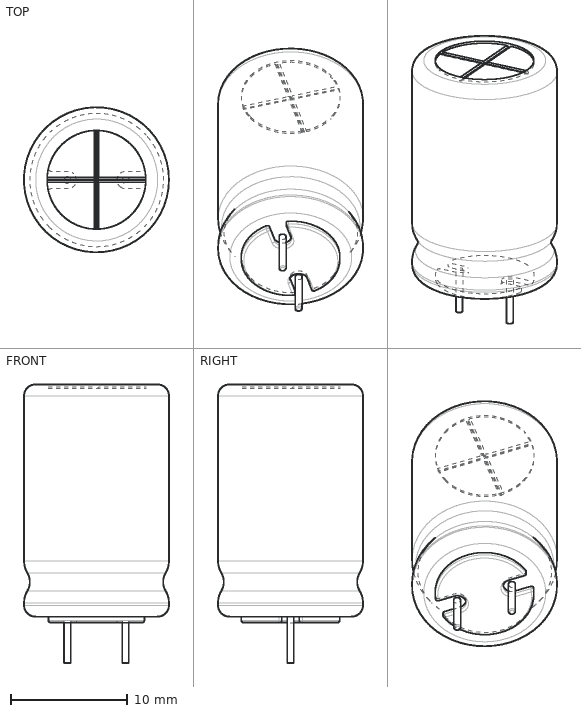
import cadquery as cq
import math


can_diameter = 12.5
can_height = 20.0
can_edge_radius = 1.0

crimp_height = 3.0
crimp_depth = 0.5
crimp_waist_radius = 1.5
crimp_shoulder_radius = 2.0

vent_diameter = 8.5
vent_depth = 0.2
score_width = 0.4
score_floor_width = 0.1
score_depth = (score_width - score_floor_width) / 2

bung_diameter = 8.5
bung_height = 0.5
bung_edge_radius = 0.2
notch_radius = 0.75
notch_corner_radius = 0.2

lead_spacing = 5.0
lead_diameter = 0.6
lead_length = 4.0
lead_tip_radius = 0.1

can_radius = can_diameter / 2
bung_radius = bung_diameter / 2
lead_positions = [(-lead_spacing / 2, 0), (lead_spacing / 2, 0)]


def make_can():
    """Revolve the can outline: rounded ends and three tangent arcs forming the crimp."""
    waist = crimp_waist_radius
    shoulder = crimp_shoulder_radius
    waist_r = can_radius - crimp_depth
    sweep = math.acos(1 - crimp_depth / (waist + shoulder))
    half_length = (waist + shoulder) * math.sin(sweep)
    crimp_bottom = crimp_height - half_length
    crimp_top = crimp_height + half_length
    join_dz = waist * math.sin(sweep)
    join_r = waist_r + waist * (1 - math.cos(sweep))
    shoulder_mid_r = can_radius - shoulder * (1 - math.cos(sweep / 2))
    shoulder_mid_dz = shoulder * math.sin(sweep / 2)
    edge = can_edge_radius
    edge_mid_inset = edge * (1 - math.sqrt(0.5))
    edge_mid_r = can_radius - edge_mid_inset

    return (
        cq.Workplane("XZ")
        .lineTo(can_radius - edge, 0)
        .threePointArc((edge_mid_r, edge_mid_inset), (can_radius, edge))
        .lineTo(can_radius, crimp_bottom)
        .threePointArc((shoulder_mid_r, crimp_bottom + shoulder_mid_dz), (join_r, crimp_height - join_dz))
        .threePointArc((waist_r, crimp_height), (join_r, crimp_height + join_dz))
        .threePointArc((shoulder_mid_r, crimp_top - shoulder_mid_dz), (can_radius, crimp_top))
        .lineTo(can_radius, can_height - edge)
        .threePointArc((edge_mid_r, can_height - edge_mid_inset), (can_radius - edge, can_height))
        .lineTo(0, can_height)
        .close()
        .revolve(360, (0, 0, 0), (0, 1, 0))
    )


def make_vent():
    """Volume removed from the top: a shallow disc and two crossing tapered grooves."""
    floor_z = can_height - vent_depth
    disc = cq.Workplane("XY").workplane(offset=floor_z).circle(vent_diameter / 2).extrude(vent_depth)
    limit = (
        cq.Workplane("XY")
        .workplane(offset=floor_z - score_depth)
        .circle(vent_diameter / 2)
        .extrude(score_depth)
    )
    vent = disc
    for plane in ("XZ", "YZ"):
        groove = (
            cq.Workplane(plane)
            .moveTo(-score_width / 2, floor_z)
            .lineTo(-score_floor_width / 2, floor_z - score_depth)
            .lineTo(score_floor_width / 2, floor_z - score_depth)
            .lineTo(score_width / 2, floor_z)
            .close()
            .extrude(vent_diameter / 2, both=True)
        )
        vent = vent.union(groove.intersect(limit))
    return vent


def make_bung():
    """Disc under the can with a round-ended notch from each lead out to the rim."""
    bung = cq.Workplane("XY").circle(bung_radius).extrude(-bung_height)
    for x, y in lead_positions:
        outward = math.copysign(bung_radius, x)
        round_end = cq.Workplane("XY").center(x, y).circle(notch_radius).extrude(-bung_height)
        channel = (
            cq.Workplane("XY")
            .center(x + outward / 2, y)
            .rect(bung_radius, 2 * notch_radius)
            .extrude(-bung_height)
        )
        bung = bung.cut(round_end.union(channel))
    rim_x = math.sqrt(bung_radius**2 - notch_radius**2)
    for side in (-1, 1):
        for flank in (-1, 1):
            corner = (side * rim_x, flank * notch_radius, -bung_height / 2)
            bung = bung.edges(cq.selectors.NearestToPointSelector(corner)).fillet(notch_corner_radius)
    return bung.faces("<Z").edges().fillet(bung_edge_radius)


def make_leads():
    """Two round leads with rounded tip edges."""
    return (
        cq.Workplane("XY")
        .pushPoints(lead_positions)
        .circle(lead_diameter / 2)
        .extrude(-lead_length)
        .faces("<Z")
        .edges()
        .fillet(lead_tip_radius)
    )


result = make_can().cut(make_vent()).union(make_bung()).union(make_leads())